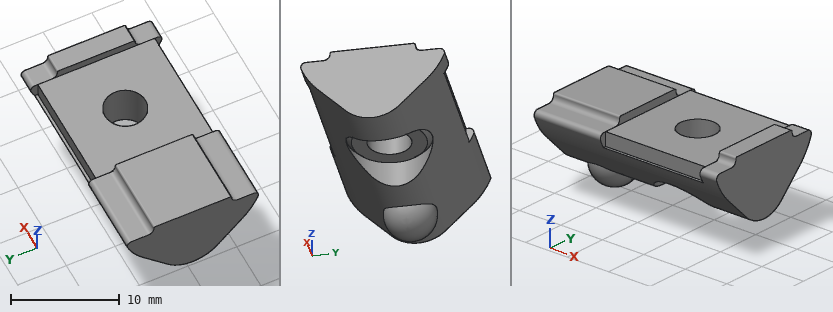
import cadquery as cq
import math


length = 22.0
rail_half_width = 4.0
rail_height = 0.85
rail_edge_radius = 0.2
rail_root_radius = 0.6
flank_radius = 7.2
flank_center_z = 1.1
wing_tip_radius = 0.5
keel_radius = 3.55
diagonal = math.sqrt(0.5)

nut_size = 12.0
nut_start_x = 8.0
nut_center_x = nut_start_x + nut_size / 2
nut_top_z = -rail_height
plate_thickness = 1.5
nut_height = 4.5
collar_diameter = 8.0
collar_chamfer = 0.5
thread_bore_diameter = 4.134

ball_radius = 2.5
ball_center = (4.0, 0.0, -7.0)


def mirrored(point):
    """Return a (y, z) point reflected in the symmetry plane."""
    return (-point[0], point[1])


def point_on_arc(center, radius, angle):
    """Return the (y, z) point of an arc at an angle in radians from +Y."""
    return (center[0] + radius * math.cos(angle), center[1] + radius * math.sin(angle))


def make_profile():
    """Draw the closed housing cross-section in the YZ plane."""
    rail_top = (rail_half_width - rail_edge_radius, 0.0)
    rail_edge_mid = point_on_arc((rail_top[0], -rail_edge_radius), rail_edge_radius, math.radians(45))
    rail_side = (rail_half_width, -rail_edge_radius)
    root_center = (rail_half_width + rail_root_radius, rail_root_radius - rail_height)
    rail_side_foot = (rail_half_width, root_center[1])
    root_mid = point_on_arc(root_center, rail_root_radius, math.radians(225))
    rail_foot = (root_center[0], -rail_height)

    flank_center = (0.0, flank_center_z)
    tip_z = -rail_height - wing_tip_radius
    tip_drop = flank_center_z - tip_z
    tip_center = (math.sqrt((flank_radius - wing_tip_radius) ** 2 - tip_drop ** 2), tip_z)
    flank_start_angle = -math.atan2(tip_drop, tip_center[0])
    flank_end_angle = math.radians(-45)
    wing_top = (tip_center[0], -rail_height)
    tip_mid_angle = (math.radians(90) + flank_start_angle) / 2
    tip_mid = point_on_arc(tip_center, wing_tip_radius, tip_mid_angle)
    flank_start = point_on_arc(flank_center, flank_radius, flank_start_angle)
    flank_mid = point_on_arc(flank_center, flank_radius, (flank_start_angle + flank_end_angle) / 2)
    flank_end = point_on_arc(flank_center, flank_radius, flank_end_angle)

    keel_center_z = flank_center_z - (flank_radius - keel_radius) / diagonal
    keel_start = point_on_arc((0.0, keel_center_z), keel_radius, flank_end_angle)
    keel_bottom = (0.0, keel_center_z - keel_radius)

    return (
        cq.Workplane("YZ")
        .moveTo(*mirrored(rail_top))
        .lineTo(*rail_top)
        .threePointArc(rail_edge_mid, rail_side)
        .lineTo(*rail_side_foot)
        .threePointArc(root_mid, rail_foot)
        .lineTo(*wing_top)
        .threePointArc(tip_mid, flank_start)
        .threePointArc(flank_mid, flank_end)
        .lineTo(*keel_start)
        .threePointArc(keel_bottom, mirrored(keel_start))
        .lineTo(*mirrored(flank_end))
        .threePointArc(mirrored(flank_mid), mirrored(flank_start))
        .threePointArc(mirrored(tip_mid), mirrored(wing_top))
        .lineTo(*mirrored(rail_foot))
        .threePointArc(mirrored(root_mid), mirrored(rail_side_foot))
        .lineTo(*mirrored(rail_side))
        .threePointArc(mirrored(rail_edge_mid), mirrored(rail_top))
        .close()
    )


def make_ball():
    return cq.Workplane("XY").sphere(ball_radius).translate(ball_center)


def make_housing():
    body = make_profile().extrude(length)

    slot_depth = rail_height + plate_thickness
    slot_width = 2 * flank_radius
    slot = (
        cq.Workplane("XY")
        .box(nut_size, slot_width, slot_depth, centered=(True, True, False))
        .translate((nut_center_x, 0, -slot_depth))
    )

    passage = (
        cq.Workplane("XY")
        .center(nut_center_x, 0)
        .circle(collar_diameter / 2)
        .extrude(-2 * flank_radius)
    )

    ball_bore = (
        cq.Workplane("XY")
        .workplane(offset=ball_center[2])
        .center(ball_center[0], ball_center[1])
        .circle(ball_radius)
        .extrude(-ball_radius)
    )
    return body.cut(slot).cut(passage).cut(ball_bore).cut(make_ball())


def make_nut():
    plate = cq.Workplane("XY").box(nut_size, nut_size, plate_thickness, centered=(True, True, False))
    collar = (
        cq.Workplane("XY")
        .circle(collar_diameter / 2)
        .extrude(-(nut_height - plate_thickness))
        .faces("<Z")
        .chamfer(collar_chamfer)
    )
    thread_bore = (
        cq.Workplane("XY")
        .workplane(offset=plate_thickness)
        .circle(thread_bore_diameter / 2)
        .extrude(-nut_height)
    )
    nut = plate.union(collar).cut(thread_bore)
    return nut.translate((nut_center_x, 0, nut_top_z - plate_thickness))


housing = make_housing()
nut = make_nut()
ball = make_ball()

result = cq.Compound.makeCompound([housing.solids().val(), nut.solids().val(), ball.val()])